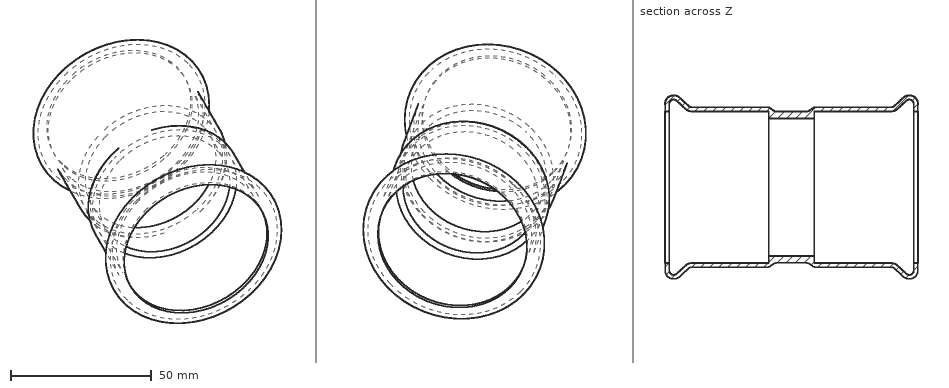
import cadquery as cq
import math

length = 90.0
half_length = length / 2

bead_radius = 65.4 / 2
body_radius = 57.0 / 2
waist_radius = 54.0 / 2
bore_radius = 26.9
stop_radius = 24.4

wall = body_radius - bore_radius
crest_round = 3.15
cone_fillet = 1.9
cone_angle = math.radians(43)

shoulder_angle = math.radians(37)
shoulder_start = 8.5
shoulder_round = 1.5
waist_fillet = 2.2

stop_half_width = 8.1


def on_arc(center, radius, angle):
    """Point on an arc, with the angle measured from outward radial toward -X."""
    return (center[0] - radius * math.sin(angle), center[1] + radius * math.cos(angle))


def symmetric_about_middle(end_profile, middle_radius, middle_half_width):
    """Revolve the profile of one end, mirror it and join both ends with a cylinder."""
    end = end_profile.close().revolve(360, (0, 0, 0), (1, 0, 0))
    middle_start = cq.Workplane("YZ", origin=(-middle_half_width, 0, 0))
    middle = middle_start.circle(middle_radius).extrude(2 * middle_half_width)
    return middle.union(end).union(end.mirror("YZ")).clean()


crest_center = (half_length - crest_round, bead_radius - crest_round)
fillet_center_radius = body_radius + cone_fillet
cone_tangent_gap = crest_round + cone_fillet
cone_length = (
    crest_center[1] - fillet_center_radius + cone_tangent_gap * math.cos(cone_angle)
) / math.sin(cone_angle)
fillet_center = (
    crest_center[0]
    - cone_tangent_gap * math.sin(cone_angle)
    - cone_length * math.cos(cone_angle),
    fillet_center_radius,
)


def bead_points(offset):
    """Fillet and crest points of the bead, moved inward by the given offset."""
    fillet = cone_fillet + offset
    crest = crest_round - offset
    return {
        "fillet_start": on_arc(fillet_center, -fillet, 0),
        "fillet_middle": on_arc(fillet_center, -fillet, cone_angle / 2),
        "cone_start": on_arc(fillet_center, -fillet, cone_angle),
        "cone_end": on_arc(crest_center, crest, cone_angle),
        "crest_top": on_arc(crest_center, crest, 0),
        "crest_end": on_arc(crest_center, crest, -math.pi / 2),
    }


def make_outer_body():
    """Solid body with the waist, shoulder, body and bead."""
    round_center = (shoulder_start, body_radius - shoulder_round)
    round_end = on_arc(round_center, shoulder_round, shoulder_angle)
    fillet_rise = waist_fillet * (1 - math.cos(shoulder_angle))
    ramp_start_radius = waist_radius + fillet_rise
    ramp_start_x = round_end[0] - (round_end[1] - ramp_start_radius) / math.tan(shoulder_angle)
    waist_end_x = ramp_start_x - waist_fillet * math.sin(shoulder_angle)
    waist_center = (waist_end_x, waist_radius + waist_fillet)
    bead = bead_points(0)
    profile = (
        cq.Workplane("XY")
        .moveTo(waist_end_x, 0)
        .lineTo(waist_end_x, waist_radius)
        .threePointArc(
            on_arc(waist_center, -waist_fillet, shoulder_angle / 2),
            (ramp_start_x, ramp_start_radius),
        )
        .lineTo(*round_end)
        .threePointArc(
            on_arc(round_center, shoulder_round, shoulder_angle / 2),
            (shoulder_start, body_radius),
        )
        .lineTo(*bead["fillet_start"])
        .threePointArc(bead["fillet_middle"], bead["cone_start"])
        .lineTo(*bead["cone_end"])
        .threePointArc(bead["crest_top"], bead["crest_end"])
        .lineTo(half_length, 0)
    )
    return symmetric_about_middle(profile, waist_radius, waist_end_x)


def make_inner_space():
    """Empty space inside: stop opening, socket, seal groove and mouth."""
    bead = bead_points(wall)
    profile = (
        cq.Workplane("XY")
        .moveTo(stop_half_width, 0)
        .lineTo(stop_half_width, bore_radius)
        .lineTo(*bead["fillet_start"])
        .threePointArc(bead["fillet_middle"], bead["cone_start"])
        .lineTo(*bead["cone_end"])
        .threePointArc(bead["crest_top"], bead["crest_end"])
        .lineTo(half_length - wall, bore_radius)
        .lineTo(half_length, bore_radius)
        .lineTo(half_length, 0)
    )
    return symmetric_about_middle(profile, stop_radius, stop_half_width)


result = make_outer_body().cut(make_inner_space())